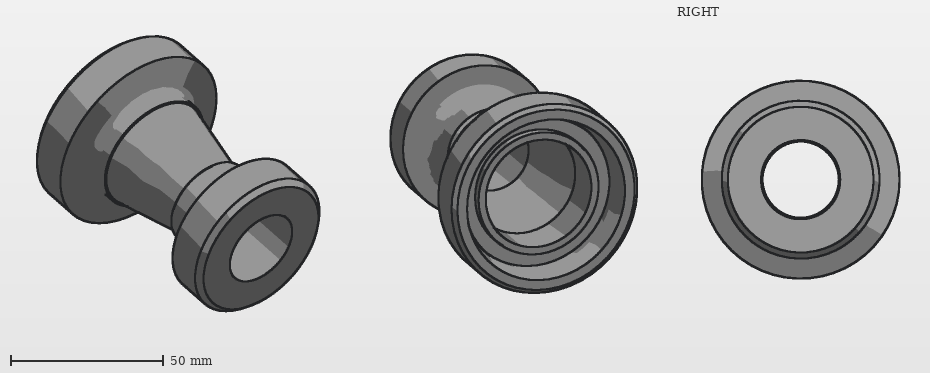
import cadquery as cq
import math

total_length = 79.5
flange_back_angle = 10.0

large_flange_diameter = 65.0
large_flange_rim_length = 14.1
large_flange_chamfer = 1.5
large_hub_diameter = 41.0
large_hub_end = 22.4
large_hub_fillet = 3.0
large_bore = 37.0
recess_mouth_diameter = 55.25
recess_diameter = 52.0
recess_taper_depth = 7.0
recess_depth = 10.4
spigot_diameter = 42.0
spigot_face = 7.1

small_flange_diameter = 51.8
small_flange_rim_length = 14.1
small_flange_chamfer = 2.0
small_hub_diameter = 31.0
small_hub_bevel_length = 0.95
small_hub_start = 50.5
small_hub_fillet = 5.0
small_bore = 26.0

cone_large_diameter = 39.8
cone_small_bore = 25.05
cone_small_diameter = 28.15


def revolve_profile(points):
    """Revolve a closed outline of (x, radius) points about the X axis."""
    return cq.Workplane("XY").polyline(points).close().revolve(360, (0, 0, 0), (1, 0, 0))


def back_face_length(flange_diameter, hub_diameter):
    """Axial length of the sloped back face between the rim and the hub."""
    rise = (flange_diameter - hub_diameter) / 2
    return rise * math.tan(math.radians(flange_back_angle))


def fillet_hub_root(body, root_x, hub_diameter, radius):
    """Round the circular corner where the sloped back face meets the hub."""
    half_box = hub_diameter / 2 + 0.8
    margin = 0.1
    root = cq.selectors.BoxSelector(
        (root_x - margin, -half_box, -half_box),
        (root_x + margin, half_box, half_box),
        boundingbox=True,
    )
    return body.edges(root).fillet(radius)


def make_large_flange():
    outer = large_flange_diameter / 2
    hub = large_hub_diameter / 2
    root_x = large_flange_rim_length + back_face_length(large_flange_diameter, large_hub_diameter)
    body = revolve_profile([
        (0, recess_mouth_diameter / 2),
        (0, outer - large_flange_chamfer),
        (large_flange_chamfer, outer),
        (large_flange_rim_length, outer),
        (root_x, hub),
        (large_hub_end, hub),
        (large_hub_end, large_bore / 2),
        (spigot_face, large_bore / 2),
        (spigot_face, spigot_diameter / 2),
        (recess_depth, spigot_diameter / 2),
        (recess_depth, recess_diameter / 2),
        (recess_taper_depth, recess_diameter / 2),
    ])
    return fillet_hub_root(body, root_x, large_hub_diameter, large_hub_fillet)


def make_reducer_cone():
    return revolve_profile([
        (large_hub_end, large_bore / 2),
        (large_hub_end, cone_large_diameter / 2),
        (small_hub_start, cone_small_diameter / 2),
        (small_hub_start, cone_small_bore / 2),
    ])


def make_small_flange():
    outer = small_flange_diameter / 2
    hub = small_hub_diameter / 2
    rim_start = total_length - small_flange_rim_length
    root_x = rim_start - back_face_length(small_flange_diameter, small_hub_diameter)
    body = revolve_profile([
        (small_hub_start, small_bore / 2),
        (small_hub_start, cone_small_diameter / 2),
        (small_hub_start + small_hub_bevel_length, hub),
        (root_x, hub),
        (rim_start, outer),
        (total_length - small_flange_chamfer, outer),
        (total_length, outer - small_flange_chamfer),
        (total_length, small_bore / 2),
    ])
    return fillet_hub_root(body, root_x, small_hub_diameter, small_hub_fillet)


large_flange = make_large_flange()
reducer_cone = make_reducer_cone()
small_flange = make_small_flange()

result = cq.Compound.makeCompound([large_flange.val(), reducer_cone.val(), small_flange.val()])